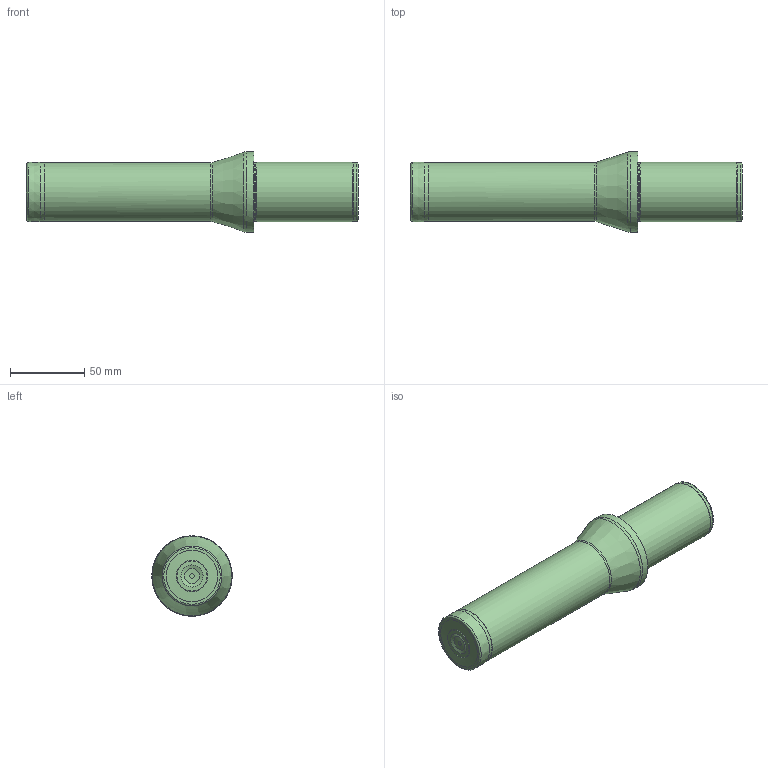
import cadquery as cq
import math

total_length = 222.97
shank_length = 70.0
flange_back_x = total_length - shank_length

head_length = 12.4
head_radius = 40.0 / 2
head_taper_end_x = 9.7
head_taper_end_radius = 39.8 / 2
neck_radius = 39.0 / 2
corner_radius = 1.0
face_inner_angle = 2.5
face_outer_angle = 2.0
face_break_radius = 17.4
rim_radius = head_radius - corner_radius

hub_radius = 10.1
hub_foot_radius = 10.5
hub_height = 0.25
recess_mouth_radius = 7.4
recess_floor_radius = 5.1
recess_wall_angle = 20.0
recess_floor_angle = 5.0
centre_flat_radius = 1.5

tube_radius = 39.5 / 2
collar_radius = 54.0 / 2
cone_start_x = 124.7
cone_end_x = 147.0
cone_start_fillet = 4.0
cone_end_fillet = 6.0

shank_radius = 40.0 / 2
relief_radius = 39.0 / 2
relief_start_radius = 39.5 / 2
relief_lead_length = 0.5
relief_flat_length = 0.7
relief_exit_length = 0.6
spigot_radius = 39.5 / 2
spigot_start_x = total_length - 3.1
spigot_step_length = 0.5
spigot_end_fillet = 1.0


def rise(run, angle):
    """Axial distance covered by a line that leaves the end face plane at this angle."""
    return run * math.tan(math.radians(angle))


def revolve_about_x(profile):
    return profile.close().revolve(360, (0, 0, 0), (1, 0, 0))


def make_head():
    floor_x = rise(recess_mouth_radius - recess_floor_radius, recess_wall_angle)
    centre_x = floor_x + rise(recess_floor_radius - centre_flat_radius, recess_floor_angle)
    break_x = hub_height + rise(face_break_radius - hub_foot_radius, face_inner_angle)
    rim_x = break_x + rise(rim_radius - face_break_radius, face_outer_angle)
    corner_mid = corner_radius * math.sin(math.radians(45))
    profile = (
        cq.Workplane("XY")
        .moveTo(centre_x, 0)
        .lineTo(centre_x, centre_flat_radius)
        .lineTo(floor_x, recess_floor_radius)
        .lineTo(0, recess_mouth_radius)
        .lineTo(0, hub_radius)
        .lineTo(hub_height, hub_foot_radius)
        .lineTo(break_x, face_break_radius)
        .lineTo(rim_x, rim_radius)
        .threePointArc(
            (rim_x + corner_radius - corner_mid, rim_radius + corner_mid),
            (rim_x + corner_radius, head_radius),
        )
        .lineTo(head_taper_end_x, head_taper_end_radius)
        .lineTo(head_length, neck_radius)
        .lineTo(head_length, 0)
    )
    return revolve_about_x(profile)


def fillet_ring(body, x, radius):
    """Round the circular edge that lies in the plane at this X."""
    half_width = 0.1
    reach = 2 * collar_radius
    band = cq.selectors.BoxSelector(
        (x - half_width, -reach, -reach),
        (x + half_width, reach, reach),
    )
    return body.edges(band).fillet(radius)


def make_holder():
    relief_flat_x = flange_back_x + relief_lead_length
    relief_exit_x = relief_flat_x + relief_flat_length
    profile = (
        cq.Workplane("XY")
        .moveTo(head_length, 0)
        .lineTo(head_length, tube_radius)
        .lineTo(cone_start_x, tube_radius)
        .lineTo(cone_end_x, collar_radius)
        .lineTo(flange_back_x, collar_radius)
        .lineTo(flange_back_x, relief_start_radius)
        .lineTo(relief_flat_x, relief_radius)
        .lineTo(relief_exit_x, relief_radius)
        .lineTo(relief_exit_x + relief_exit_length, shank_radius)
        .lineTo(spigot_start_x - spigot_step_length, shank_radius)
        .lineTo(spigot_start_x, spigot_radius)
        .lineTo(total_length, spigot_radius)
        .lineTo(total_length, 0)
    )
    body = revolve_about_x(profile)
    body = fillet_ring(body, cone_start_x, cone_start_fillet)
    body = fillet_ring(body, cone_end_x, cone_end_fillet)
    return fillet_ring(body, total_length, spigot_end_fillet)


head = make_head()
holder = make_holder()

result = cq.Compound.makeCompound([head.val(), holder.val()])